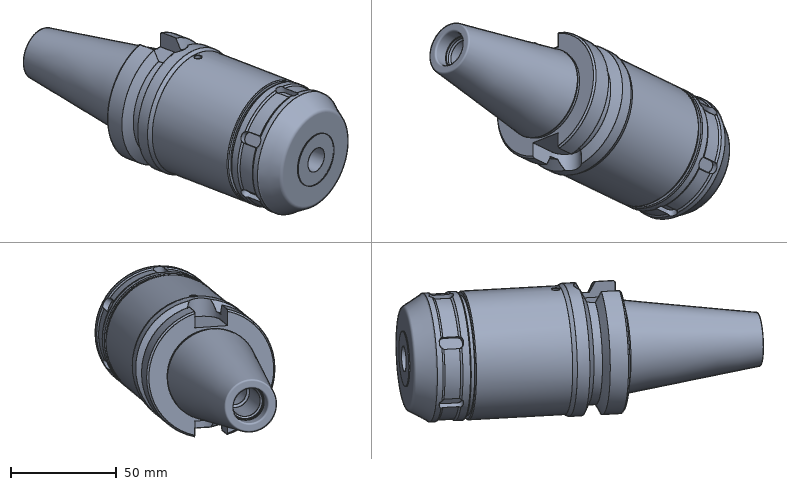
import cadquery as cq
import math


TAPER_RATIO = 7 / 24
GAUGE_DIAMETER = 44.5
GAUGE_RADIUS = GAUGE_DIAMETER / 2
TAPER_END = 65.5
TIP_RADIUS = GAUGE_RADIUS - TAPER_END * TAPER_RATIO / 2
TIP_ROUND = 0.9
NECK_DIAMETER = 43.5
NECK_RADIUS = NECK_DIAMETER / 2
NECK_STEP = 0.9

FLANGE_RADIUS = 31.5
FLANGE_FACE = 67.5
FLANGE_CHAMFER = 0.9
GROOVE_RADIUS = 26.5
GROOVE_START = 80.0
GROOVE_END = 84.0
GROOVE_ANGLE = 30
GROOVE_SLOPE = (FLANGE_RADIUS - GROOVE_RADIUS) * math.tan(math.radians(GROOVE_ANGLE))
COLLAR_END = 92.9

BODY_RADIUS = 30.5
BODY_START = 94.9
BODY_END = 141.6
EDGE_CHAMFER = 0.5
GAP_RADIUS = 28.5

NUT_START = 143.5
BAND_RADIUS = 29.8
BAND_START = 148.6
BAND_END = 156.1
BAND_SLOPE = 1.0
NOSE_START = 160.3
NOSE_ANGLE = 30
NOSE_RADIUS = BODY_RADIUS - EDGE_CHAMFER
NUT_END = 169.9
NUT_END_RADIUS = NOSE_RADIUS - (NUT_END - NOSE_START) * math.tan(math.radians(NOSE_ANGLE))
NUT_END_ROUND = 2.0
SLEEVE_RADIUS = 13.1
TOTAL_LENGTH = 170.4

PILOT_RADIUS = 8.5
PILOT_DEPTH = 6.8
RELIEF_RADIUS = 8.0
RELIEF_DEPTH = 8.2
THREAD_RADIUS = 7.2
THREAD_DEPTH = 27.3
BORE_DIAMETER = 12.1
BORE_RADIUS = BORE_DIAMETER / 2

KEY_COUNT = 2
KEY_WIDTH = 16.0
KEY_FLOOR = 22.7
KEY_TIP = 88.8

WRENCH_COUNT = 6
WRENCH_LENGTH = 11.6
WRENCH_WIDTH = 5.8
WRENCH_CORNER = 2.5
WRENCH_FLOOR = 27.3
WRENCH_CENTER = (BAND_START + BAND_END) / 2

PIN_X = 97.5
PIN_RADIUS = 1.7
PIN_MOUTH_DIAMETER = 4.0
PIN_MOUTH_RADIUS = PIN_MOUTH_DIAMETER / 2
PIN_DEPTH = 1.7
PIN_CHAMFER = PIN_MOUTH_RADIUS - PIN_RADIUS


def revolve_about_x(points):
    """Revolve a closed (x, radius) outline about the X axis."""
    return cq.Workplane("XY").polyline(points).close().revolve(360, (0, 0, 0), (1, 0, 0))


def outer_body():
    return revolve_about_x([
        (0, 0),
        (0, TIP_RADIUS),
        (TAPER_END, GAUGE_RADIUS),
        (TAPER_END + NECK_STEP, NECK_RADIUS),
        (FLANGE_FACE, NECK_RADIUS),
        (FLANGE_FACE, FLANGE_RADIUS - FLANGE_CHAMFER),
        (FLANGE_FACE + FLANGE_CHAMFER, FLANGE_RADIUS),
        (GROOVE_START - GROOVE_SLOPE, FLANGE_RADIUS),
        (GROOVE_START, GROOVE_RADIUS),
        (GROOVE_END, GROOVE_RADIUS),
        (GROOVE_END + GROOVE_SLOPE, FLANGE_RADIUS),
        (COLLAR_END, FLANGE_RADIUS),
        (BODY_START, BODY_RADIUS),
        (BODY_END - EDGE_CHAMFER, BODY_RADIUS),
        (BODY_END, BODY_RADIUS - EDGE_CHAMFER),
        (BODY_END, GAP_RADIUS),
        (NUT_START, GAP_RADIUS),
        (NUT_START, BODY_RADIUS - EDGE_CHAMFER),
        (NUT_START + EDGE_CHAMFER, BODY_RADIUS),
        (BAND_START - BAND_SLOPE, BODY_RADIUS),
        (BAND_START, BAND_RADIUS),
        (BAND_END, BAND_RADIUS),
        (BAND_END + BAND_SLOPE, BODY_RADIUS),
        (NOSE_START - EDGE_CHAMFER, BODY_RADIUS),
        (NOSE_START, NOSE_RADIUS),
        (NUT_END, NUT_END_RADIUS),
        (NUT_END, 0),
    ])


def sleeve_end():
    """Inner sleeve standing slightly proud of the nut."""
    sleeve_length = TOTAL_LENGTH - NOSE_START
    return cq.Workplane("YZ", origin=(NOSE_START, 0, 0)).circle(SLEEVE_RADIUS).extrude(sleeve_length)


def stepped_bore():
    relief_cone = RELIEF_RADIUS - THREAD_RADIUS
    thread_cone = THREAD_RADIUS - BORE_RADIUS
    return revolve_about_x([
        (0, 0),
        (0, PILOT_RADIUS),
        (PILOT_DEPTH, PILOT_RADIUS),
        (PILOT_DEPTH, RELIEF_RADIUS),
        (RELIEF_DEPTH, RELIEF_RADIUS),
        (RELIEF_DEPTH + relief_cone, THREAD_RADIUS),
        (THREAD_DEPTH, THREAD_RADIUS),
        (THREAD_DEPTH + thread_cone, BORE_RADIUS),
        (TOTAL_LENGTH, BORE_RADIUS),
        (TOTAL_LENGTH, 0),
    ])


def key_slot():
    """Slot at +Z, open towards the taper and rounded at its far end."""
    half_width = KEY_WIDTH / 2
    arc_start = KEY_TIP - half_width
    return (
        cq.Workplane("XY", origin=(0, 0, KEY_FLOOR))
        .moveTo(TAPER_END, -half_width)
        .lineTo(arc_start, -half_width)
        .threePointArc((KEY_TIP, 0), (arc_start, half_width))
        .lineTo(TAPER_END, half_width)
        .close()
        .extrude(FLANGE_RADIUS - KEY_FLOOR)
    )


def wrench_slot():
    return (
        cq.Workplane("XY", origin=(WRENCH_CENTER, 0, WRENCH_FLOOR))
        .rect(WRENCH_LENGTH, WRENCH_WIDTH)
        .extrude(FLANGE_RADIUS - WRENCH_FLOOR)
        .edges("|Z")
        .fillet(WRENCH_CORNER)
    )


def pin_hole():
    top = BODY_RADIUS
    floor = top - PIN_DEPTH
    profile = [
        (0, floor),
        (PIN_RADIUS, floor),
        (PIN_RADIUS, top - PIN_CHAMFER),
        (PIN_MOUTH_RADIUS, top),
        (0, top),
    ]
    hole = cq.Workplane("XZ").polyline(profile).close().revolve(360, (0, 0, 0), (0, 1, 0))
    return hole.translate((PIN_X, 0, 0))


def around_axis(shape, count):
    """Copies of a shape spread evenly about the X axis."""
    return [shape.rotate((0, 0, 0), (1, 0, 0), 360 / count * i) for i in range(count)]


body = outer_body().faces(">X").edges().fillet(NUT_END_ROUND).union(sleeve_end())
result = body.cut(stepped_bore()).faces("<X").edges().fillet(TIP_ROUND).cut(pin_hole())
for slot in around_axis(key_slot(), KEY_COUNT) + around_axis(wrench_slot(), WRENCH_COUNT):
    result = result.cut(slot)